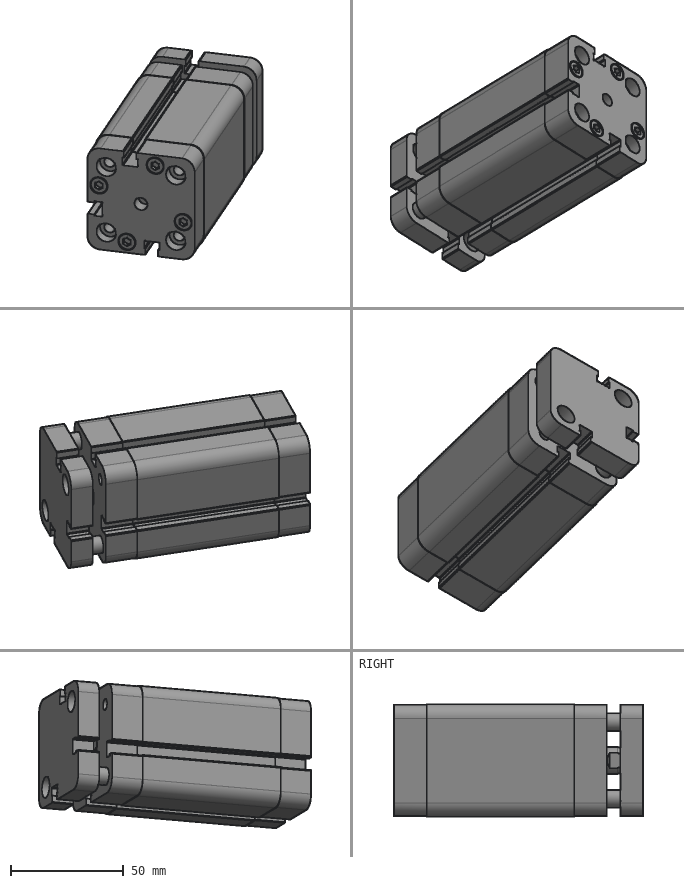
import cadquery as cq
import math

total_length = 110.5
plate_thickness = 10.1
gap_length = 6.0
cap_length = 14.5
body_length = total_length - plate_thickness - gap_length - 2 * cap_length

rear_face_y = -total_length / 2
body_start_y = rear_face_y + cap_length
front_cap_y = body_start_y + body_length
front_face_y = front_cap_y + cap_length
plate_y = front_face_y + gap_length

body_side = 50.1
cap_side = 49.5
cap_corner_radius = 6.0
side_step = (body_side - cap_side) / 2
body_corner_radius = cap_corner_radius + side_step

slot_offset = 5.0
slot_step_height = 21.5
body_slot_opening = 5.4
body_slot_width = 6.6
body_slot_floor = 18.1
cap_slot_opening = 5.7
cap_slot_width = 7.1
floor_chamfer = 0.3
lip_chamfer_width = 0.5
lip_chamfer_depth = 0.28
cap_slot_floor = body_slot_floor - side_step
slot_turns = (0, 90, 180)

mount_offset = 16.0
mount_hole_diameter = 5.0
mount_bore_diameter = 9.0
plate_hole_diameter = 9.5
mount_bore_depth = 5.6

screw_x = 6.5
screw_z = 19.5
screw_recess_diameter = 8.0
screw_head_diameter = 7.5
screw_gap_depth = 0.4
hex_across_flats = 3.5
hex_depth = 2.2

port_diameter = 6.0
port_depth = 6.6

guide_offset = 17.0
guide_diameter = 8.0
piston_diameter = 12.0
piston_flat_width = 10.0
piston_chamfer_length = 1.3
piston_chamfer_depth = 0.3
flat_relief_length = 1.3


def cylinder(x, z, diameter, start_y, length):
    """Cylinder along +Y from start_y."""
    return cq.Workplane("XZ", origin=(x, start_y, z)).circle(diameter / 2).extrude(-length)


def slot_cutter(opening, width, floor, top, start_y, length):
    """T-slot in the +Z side, with chamfered lips at the height top and chamfered floor edges."""
    neck = cq.Workplane("XY").box(opening, length, top - floor, centered=(True, False, False))
    wide = (
        cq.Workplane("XY")
        .box(width, length, slot_step_height - floor, centered=(True, False, False))
        .edges("|Y and <Z")
        .chamfer(floor_chamfer)
    )
    mouth = (
        cq.Workplane("XZ", origin=(0, 0, top - floor))
        .moveTo(-opening / 2, -lip_chamfer_depth)
        .lineTo(opening / 2, -lip_chamfer_depth)
        .lineTo(opening / 2 + lip_chamfer_width, 0)
        .lineTo(-opening / 2 - lip_chamfer_width, 0)
        .close()
        .extrude(-length)
    )
    return neck.union(wide).union(mouth).translate((-slot_offset, start_y, floor))


def slotted_block(side, radius, opening, width, floor, start_y, length):
    """Rounded square block with a T-slot in its top, left and bottom sides."""
    block = (
        cq.Workplane("XZ", origin=(0, start_y, 0))
        .rect(side, side)
        .extrude(-length)
        .edges("|Y")
        .fillet(radius)
    )
    slot = slot_cutter(opening, width, floor, side / 2, start_y, length)
    for turn in slot_turns:
        block = block.cut(slot.rotate((0, 0, 0), (0, 1, 0), -turn))
    return block


def cap_block(start_y, length):
    return slotted_block(
        cap_side,
        cap_corner_radius,
        cap_slot_opening,
        cap_slot_width,
        cap_slot_floor,
        start_y,
        length,
    )


def cut_mounting_holes(housing):
    """Counterbored holes through both caps and the body, one near each corner."""
    for x in (-mount_offset, mount_offset):
        for z in (-mount_offset, mount_offset):
            housing = housing.cut(
                cylinder(x, z, mount_hole_diameter, rear_face_y, front_face_y - rear_face_y)
            )
            housing = housing.cut(cylinder(x, z, mount_bore_diameter, rear_face_y, mount_bore_depth))
    return housing


def hex_socket(x, z):
    """Hexagon socket with a corner pointing to +Z."""
    across_corners = hex_across_flats / math.cos(math.pi / 6)
    return (
        cq.Workplane("XZ", origin=(x, rear_face_y, z))
        .transformed(rotate=(0, 0, 90))
        .polygon(6, across_corners)
        .extrude(-hex_depth)
    )


def cut_screws(housing):
    """Four screws spaced a quarter turn apart."""
    positions = (
        (screw_x, screw_z),
        (screw_z, -screw_x),
        (-screw_x, -screw_z),
        (-screw_z, screw_x),
    )
    for x, z in positions:
        ring = cylinder(x, z, screw_recess_diameter, rear_face_y, screw_gap_depth)
        ring = ring.cut(cylinder(x, z, screw_head_diameter, rear_face_y, screw_gap_depth))
        housing = housing.cut(ring).cut(hex_socket(x, z))
    return housing


def piston_rod():
    """Round rod with a chamfered end and a wrench flat on each X side."""
    radius = piston_diameter / 2
    rod = (
        cq.Workplane("XY")
        .moveTo(0, front_face_y)
        .lineTo(radius, front_face_y)
        .lineTo(radius, plate_y - piston_chamfer_length)
        .lineTo(radius - piston_chamfer_depth, plate_y)
        .lineTo(0, plate_y)
        .close()
        .revolve(360, (0, 0, 0), (0, 1, 0))
    )
    flat_x = piston_flat_width / 2
    flat_y = front_face_y + flat_relief_length
    flat = (
        cq.Workplane("XY")
        .moveTo(flat_x, plate_y)
        .lineTo(flat_x, flat_y)
        .lineTo(flat_x + flat_relief_length, front_face_y)
        .lineTo(piston_diameter, front_face_y)
        .lineTo(piston_diameter, plate_y)
        .close()
        .extrude(piston_diameter, both=True)
    )
    return rod.cut(flat).cut(flat.mirror("YZ"))


def front_plate():
    """Slotted plate with clearance holes in front of the two open mounting holes."""
    plate = cap_block(plate_y, plate_thickness)
    for side in (-1, 1):
        plate = plate.cut(
            cylinder(
                side * mount_offset, -side * mount_offset, plate_hole_diameter, plate_y, plate_thickness
            )
        )
    return plate


housing = (
    slotted_block(
        body_side,
        body_corner_radius,
        body_slot_opening,
        body_slot_width,
        body_slot_floor,
        body_start_y,
        body_length,
    )
    .union(cap_block(rear_face_y, cap_length))
    .union(cap_block(front_cap_y, cap_length))
)
housing = cut_mounting_holes(housing)
housing = cut_screws(housing)
housing = housing.cut(cylinder(0, 0, port_diameter, rear_face_y, port_depth))

result = housing.union(front_plate()).union(piston_rod())
for side in (-1, 1):
    result = result.union(
        cylinder(side * guide_offset, side * guide_offset, guide_diameter, front_face_y, gap_length)
    )